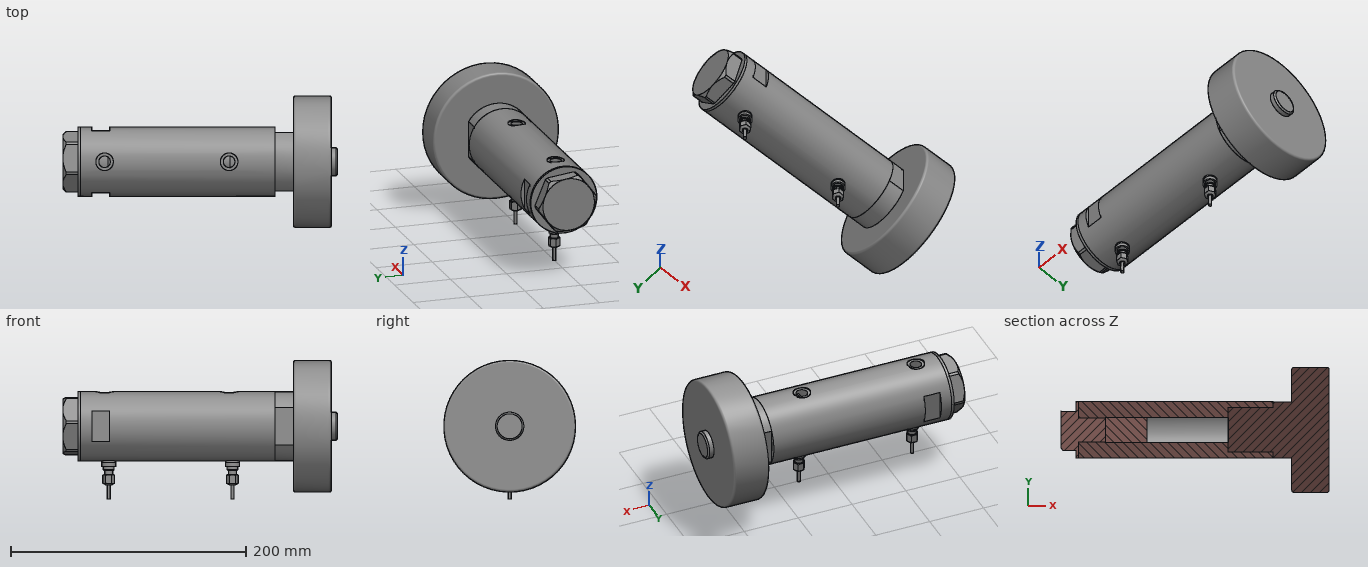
import cadquery as cq
import math


PLUG_FLANGE_X = 12.8
BARREL_START_X = 15.2
PISTON_START_X = 38.3
SPIGOT_START_X = 142.2
BARREL_END_X = 180.2
FLANGE_START_X = 195.8
FLANGE_END_X = 228.0
ROD_END_X = 233.5

BARREL_RADIUS = 59.0 / 2
BORE_RADIUS = 20.0
SPIGOT_RADIUS = 25.5
ROD_RADIUS = 24.0 / 2
FLANGE_RADIUS = 56.0

HEX_CORNER_RATIO = 1 / math.cos(math.pi / 6)

HEX_ACROSS_FLATS = 46.0
HEX_CORNER_RADIUS = 26.0
HEX_TURN = 7.5

POCKET_START_X = 24.7
POCKET_LENGTH = 15.0
POCKET_ACROSS_FLATS = 53.0
FIRST_PORT_X = 35.5
PORT_PITCH = 105.7
PORT_XS = [FIRST_PORT_X, FIRST_PORT_X + PORT_PITCH]
PORT_RADIUS = 5.0
SPOTFACE_RADIUS = 7.5
SPOTFACE_DEPTH = 1.2

NECK_ACROSS_FLATS = 50.0
FLANGE_FILLET = 2.0

PISTON_LENGTH = 35.0
ROD_CHAMFER = 1.5

FIRST_SWITCH_X = 39.0
SWITCH_PITCH = 105.0
SWITCH_XS = [FIRST_SWITCH_X, FIRST_SWITCH_X + SWITCH_PITCH]
COLLAR_RADIUS = 6.0
SEAT_Z = -30.8
COLLAR_BOTTOM_Z = -34.3
BODY_RADIUS = 4.7
BODY_BOTTOM_Z = -37.5
BODY_BEVEL = 0.7
STEM_RADIUS = 3.5
NUT_TOP_Z = -41.0
NUT_TAPER_Z = -48.3
NUT_BOTTOM_Z = -50.0
NUT_ACROSS_FLATS = 8.9
NUT_TOP_RADIUS = 4.2
NUT_TOP_BEVEL = 0.7
NUT_BOTTOM_RADIUS = 2.3
CABLE_RADIUS = 1.5
CABLE_END_Z = -61.9


def cylinder_x(radius, start, end):
    """Cylinder on the X axis between two stations."""
    return cq.Workplane("YZ").workplane(offset=start).circle(radius).extrude(end - start)


def cylinder_z(radius, x, bottom, top):
    """Vertical cylinder at station x."""
    return cq.Workplane("XY", origin=(x, 0, bottom)).circle(radius).extrude(top - bottom)


def side_cutters(across_flats, start, end):
    """Two blocks that leave parallel flats on the +Y and -Y sides."""
    depth = BARREL_RADIUS
    offset = (across_flats + depth) / 2
    return (
        cq.Workplane("XY")
        .pushPoints([((start + end) / 2, -offset), ((start + end) / 2, offset)])
        .box(end - start, depth, 2 * BARREL_RADIUS)
    )


def make_plug():
    """Hexagon head with bevelled corners, a round flange and a spigot in the bore."""
    corner_diameter = HEX_ACROSS_FLATS * HEX_CORNER_RATIO
    hexagon = (
        cq.Workplane("YZ")
        .transformed(rotate=(0, 0, -HEX_TURN))
        .polygon(6, corner_diameter)
        .extrude(PLUG_FLANGE_X)
    )
    bevel = HEX_CORNER_RADIUS - HEX_ACROSS_FLATS / 2
    envelope = cylinder_x(HEX_CORNER_RADIUS, 0, PLUG_FLANGE_X).faces("<X").chamfer(bevel)
    flange = cylinder_x(BARREL_RADIUS, PLUG_FLANGE_X, BARREL_START_X)
    spigot = cylinder_x(BORE_RADIUS, BARREL_START_X, PISTON_START_X)
    return hexagon.intersect(envelope).union(flange).union(spigot)


def make_barrel():
    """Tube with wrench pockets, two spotfaced ports on top and two switch seats below."""
    barrel = cylinder_x(BARREL_RADIUS, BARREL_START_X, BARREL_END_X)
    for x in SWITCH_XS:
        barrel = barrel.union(cylinder_z(COLLAR_RADIUS, x, SEAT_Z, -SPIGOT_RADIUS))
    barrel = barrel.cut(cylinder_x(BORE_RADIUS, BARREL_START_X, SPIGOT_START_X))
    barrel = barrel.cut(cylinder_x(SPIGOT_RADIUS, SPIGOT_START_X, BARREL_END_X))
    pocket_end = POCKET_START_X + POCKET_LENGTH
    barrel = barrel.cut(side_cutters(POCKET_ACROSS_FLATS, POCKET_START_X, pocket_end))
    spotface_z = BARREL_RADIUS - SPOTFACE_DEPTH
    for x in PORT_XS:
        barrel = barrel.cut(cylinder_z(PORT_RADIUS, x, 0, BARREL_RADIUS))
        barrel = barrel.cut(cylinder_z(SPOTFACE_RADIUS, x, spotface_z, BARREL_RADIUS))
    return barrel


def make_head():
    """Spigot in the barrel, neck with wrench flats and a large round flange, bored for the rod."""
    neck = cylinder_x(BARREL_RADIUS, BARREL_END_X, FLANGE_START_X)
    neck = neck.cut(side_cutters(NECK_ACROSS_FLATS, BARREL_END_X, FLANGE_START_X))
    flange = cylinder_x(FLANGE_RADIUS, FLANGE_START_X, FLANGE_END_X).edges().fillet(FLANGE_FILLET)
    spigot = cylinder_x(SPIGOT_RADIUS, SPIGOT_START_X, BARREL_END_X)
    head = spigot.union(neck).union(flange)
    return head.cut(cylinder_x(ROD_RADIUS, SPIGOT_START_X, FLANGE_END_X))


def make_piston():
    """Ring that fills the bore around the rod."""
    end = PISTON_START_X + PISTON_LENGTH
    piston = cylinder_x(BORE_RADIUS, PISTON_START_X, end)
    return piston.cut(cylinder_x(ROD_RADIUS, PISTON_START_X, end))


def make_rod():
    """Plain rod with a chamfered outer end."""
    return cylinder_x(ROD_RADIUS, PISTON_START_X, ROD_END_X).faces(">X").chamfer(ROD_CHAMFER)


def make_switch(x):
    """Stepped switch with a hexagon cable nut and a cable stub, pointing down at station x."""
    collar = cylinder_z(COLLAR_RADIUS, x, COLLAR_BOTTOM_Z, SEAT_Z)
    body = cylinder_z(BODY_RADIUS, x, BODY_BOTTOM_Z, COLLAR_BOTTOM_Z)
    body = body.faces("<Z").chamfer(BODY_BEVEL)
    stem = cylinder_z(STEM_RADIUS, x, NUT_TOP_Z, BODY_BOTTOM_Z)
    corner_radius = NUT_ACROSS_FLATS / 2 * HEX_CORNER_RATIO
    nut = (
        cq.Workplane("XY", origin=(x, 0, NUT_BOTTOM_Z))
        .polygon(6, 2 * corner_radius)
        .extrude(NUT_TOP_Z - NUT_BOTTOM_Z)
    )
    nut_profile = [
        (0, NUT_BOTTOM_Z),
        (NUT_BOTTOM_RADIUS, NUT_BOTTOM_Z),
        (corner_radius, NUT_TAPER_Z),
        (corner_radius, NUT_TOP_Z - NUT_TOP_BEVEL),
        (NUT_TOP_RADIUS, NUT_TOP_Z),
        (0, NUT_TOP_Z),
    ]
    envelope = cq.Workplane("XZ", origin=(x, 0, 0)).polyline(nut_profile).close().revolve()
    cable = cylinder_z(CABLE_RADIUS, x, CABLE_END_Z, NUT_BOTTOM_Z)
    return collar.union(body).union(stem).union(nut.intersect(envelope)).union(cable)


plug = make_plug()
barrel = make_barrel()
head = make_head()
piston = make_piston()
rod = make_rod()
switches = [make_switch(x) for x in SWITCH_XS]

result = cq.Compound.makeCompound(
    [plug.val(), barrel.val(), head.val(), piston.val(), rod.val()]
    + [switch.val() for switch in switches]
)